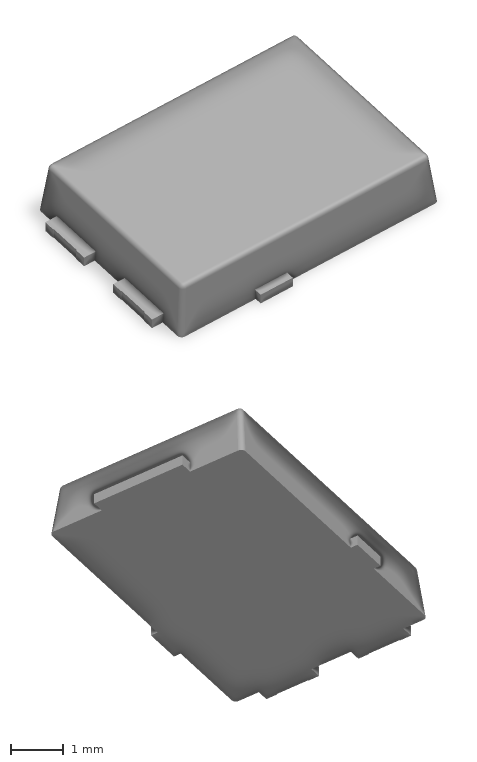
import cadquery as cq
import math

overall_width = 4.75
overall_length = 6.65
height = 1.2

base_width = 4.44
base_length = 6.145
draft_angle = 6.0
edge_radius = 0.1

metal_thickness = 0.225
front_lead_width = 1.21
front_lead_spacing = 2.115
front_lead_length = 0.93
end_land_width = 0.245
tip_recess_depth = 0.01

rear_tab_width = 2.03
side_tab_width = 0.765
side_tab_y = -0.905
pad_width = 3.86
pad_rear_margin = 0.25


def block(x_size, y_size, x_center, y_min):
    """Flat metal block resting on the base plane."""
    return (
        cq.Workplane("XY")
        .box(x_size, y_size, metal_thickness, centered=(True, False, False))
        .translate((x_center, y_min, 0))
    )


def make_front_lead(x_center):
    """Rectangular lead with a shallow recess in the middle of its tip."""
    tip_y = -overall_length / 2
    lead = block(front_lead_width, front_lead_length, x_center, tip_y)
    recess_width = front_lead_width - 2 * end_land_width
    return lead.cut(block(recess_width, tip_recess_depth, x_center, tip_y))


def make_pad():
    """Pad inside the housing with a rear tab and two side tabs."""
    front_y = side_tab_y - side_tab_width / 2
    rear_y = base_length / 2 - pad_rear_margin
    pad = block(pad_width, rear_y - front_y, 0, front_y)
    side_tabs = block(overall_width, side_tab_width, 0, front_y)
    rear_tab = block(rear_tab_width, overall_length / 2 - front_y, 0, front_y)
    return pad.union(side_tabs).union(rear_tab)


def make_housing(metal_bodies):
    """Drafted block with rounded edges and matching recesses for the metal."""
    inset = height * math.tan(math.radians(draft_angle))
    housing = (
        cq.Workplane("XY")
        .rect(base_width, base_length)
        .workplane(offset=height)
        .rect(base_width - 2 * inset, base_length - 2 * inset)
        .loft(combine=True)
        .edges("not <Z")
        .fillet(edge_radius)
    )
    for metal in metal_bodies:
        housing = housing.cut(metal)
    return housing


pad = make_pad()
front_leads = [make_front_lead(side * front_lead_spacing / 2) for side in (-1, 1)]
housing = make_housing([pad, *front_leads])

result = cq.Compound.makeCompound([housing.val(), pad.val(), *[lead.val() for lead in front_leads]])